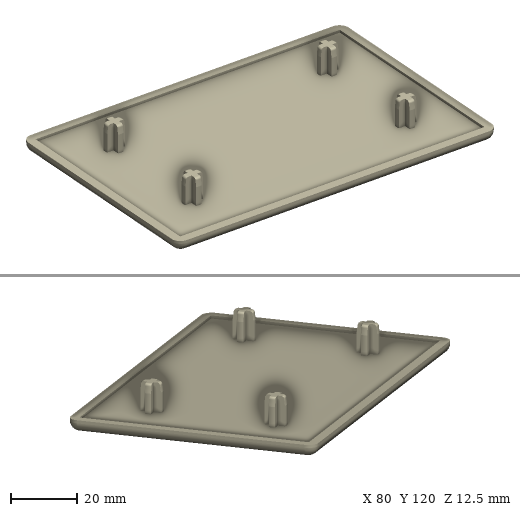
import cadquery as cq

plate_width = 80.0
plate_length = 120.0
plate_thickness = 4.0
corner_radius = 3.4
bottom_edge_radius = 3.0
rim_width = 3.0
recess_depth = 1.0
floor_z = plate_thickness - recess_depth

total_height = 12.5
post_spacing_x = plate_width / 2
post_spacing_y = plate_length * 2 / 3
post_radius = 3.5
post_tip_radius = 3.1
post_taper_height = 3.0
post_tip_fillet = 0.8
arm_width = 2.0
post_height = total_height - floor_z


def make_plate():
    """Tray with rounded corners, a rounded bottom edge and a square-cornered recess."""
    body = (
        cq.Workplane("XY")
        .rect(plate_width, plate_length)
        .extrude(plate_thickness)
        .edges("|Z")
        .fillet(corner_radius)
        .faces("<Z")
        .edges()
        .fillet(bottom_edge_radius)
    )
    recess = (
        cq.Workplane("XY", origin=(0, 0, floor_z))
        .rect(plate_width - 2 * rim_width, plate_length - 2 * rim_width)
        .extrude(recess_depth)
    )
    return body.cut(recess)


def make_post():
    """Round post with a tapered, rounded tip, trimmed to a cross; its base is at Z = 0."""
    round_post = (
        cq.Workplane("XZ")
        .polyline([
            (0, 0),
            (post_radius, 0),
            (post_radius, post_height - post_taper_height),
            (post_tip_radius, post_height),
            (0, post_height),
        ])
        .close()
        .revolve(360, (0, 0), (0, 1))
        .faces(">Z")
        .edges()
        .fillet(post_tip_fillet)
    )
    arm_x = cq.Workplane("XY").rect(2 * post_radius, arm_width).extrude(post_height)
    arm_y = cq.Workplane("XY").rect(arm_width, 2 * post_radius).extrude(post_height)
    return round_post.intersect(arm_x.union(arm_y))


result = make_plate()
post = make_post()
for side_x in (-1, 1):
    for side_y in (-1, 1):
        post_place = (side_x * post_spacing_x / 2, side_y * post_spacing_y / 2, floor_z)
        result = result.union(post.translate(post_place))